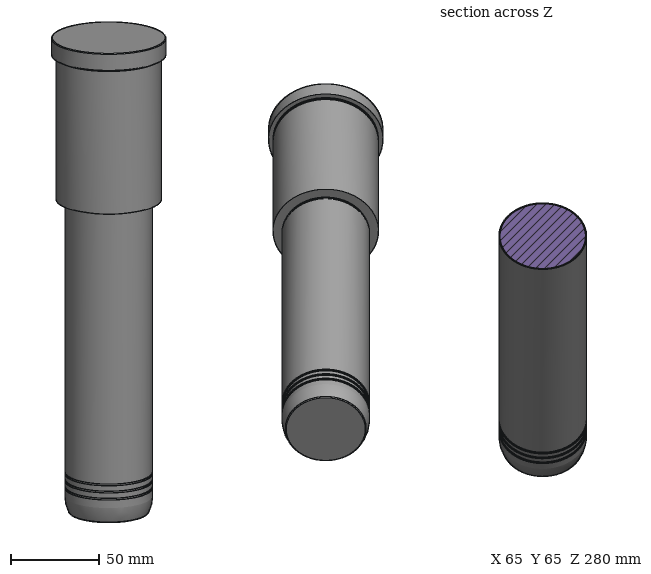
import cadquery as cq

total_length = 280.0

head_radius = 32.5
head_height = 10.0
head_chamfer = 0.5

body_radius = 30.0
body_bottom = 184.5
body_groove_width = 0.8
body_groove_depth = 0.42
body_groove_gap = 0.45

shaft_radius = 25.0
shaft_relief_height = 1.7
shaft_relief_depth = 0.5

groove_count = 3
groove_width = 1.0
groove_depth = 0.42
groove_pitch = 4.2
lowest_groove_height = 14.5

nose_height = 9.2
nose_drop = 2.0
end_chamfer = 0.5

head_bottom = total_length - head_height


def cylinder(radius, bottom, top):
    """Solid cylinder on the Z axis between two heights."""
    return cq.Workplane("XY").workplane(offset=bottom).circle(radius).extrude(top - bottom)


def ring_groove(radius, depth, bottom, width):
    """Ring that cuts a square-sided groove into a cylinder of the given radius."""
    ring = cq.Workplane("XY").workplane(offset=bottom)
    return ring.circle(radius + depth).circle(radius - depth).extrude(width)


def shaft_with_nose():
    """Shaft revolved with a lower end that curves in tangent to its side and ends in a small chamfer."""
    nose_radius = shaft_radius - nose_drop
    profile = (
        cq.Workplane("XZ")
        .moveTo(0, 0)
        .lineTo(0, body_bottom)
        .lineTo(shaft_radius, body_bottom)
        .lineTo(shaft_radius, nose_height)
        .tangentArcPoint((nose_radius, end_chamfer), relative=False)
        .lineTo(nose_radius - end_chamfer, 0)
        .close()
    )
    return profile.revolve(360, (0, 0, 0), (0, 1, 0))


head = cylinder(head_radius, head_bottom, total_length).faces(">Z").chamfer(head_chamfer)
body = cylinder(body_radius, body_bottom, head_bottom)
result = shaft_with_nose().union(body).union(head)

body_groove_bottom = head_bottom - body_groove_gap - body_groove_width
result = result.cut(ring_groove(body_radius, body_groove_depth, body_groove_bottom, body_groove_width))

result = result.cut(
    ring_groove(shaft_radius, shaft_relief_depth, body_bottom - shaft_relief_height, shaft_relief_height)
)

for index in range(groove_count):
    groove_bottom = lowest_groove_height + index * groove_pitch - groove_width / 2
    result = result.cut(ring_groove(shaft_radius, groove_depth, groove_bottom, groove_width))